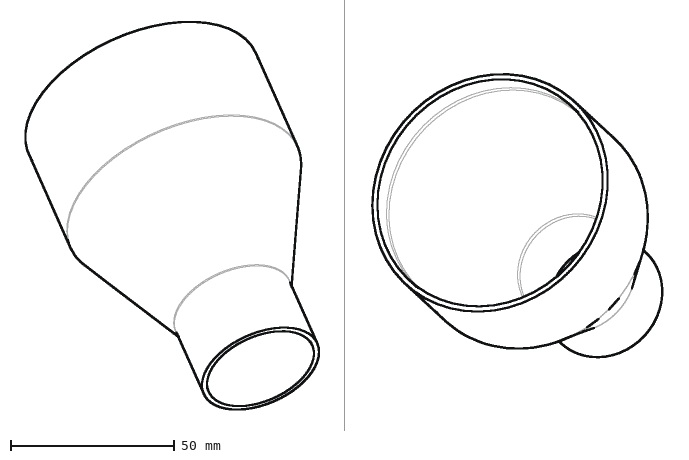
import cadquery as cq

total_length = 108.0

large_outer_diameter = 76.2
small_outer_diameter = large_outer_diameter / 2
large_bore_diameter = 72.9
wall = (large_outer_diameter - large_bore_diameter) / 2

large_tube_length = 38.2
small_tube_length = 25.4
outer_blend_radius = 1.1

large_bore_length = 9.5
small_bore_length = 29.1
inner_blend_radius = 6.4


def reducer_body(large_diameter, small_diameter, large_length, small_length, blend_radius):
    """Solid cylinder, cone and cylinder in a row about X, rounded at both ends of the cone."""
    large_radius = large_diameter / 2
    small_radius = small_diameter / 2
    profile = (
        cq.Workplane("XY")
        .lineTo(0, large_radius)
        .lineTo(large_length, large_radius)
        .lineTo(total_length - small_length, small_radius)
        .lineTo(total_length, small_radius)
        .lineTo(total_length, 0)
        .close()
    )
    body = profile.revolve(360, (0, 0, 0), (1, 0, 0))
    return body.faces("%CONE").edges("%CIRCLE").fillet(blend_radius)


outer_body = reducer_body(
    large_outer_diameter,
    small_outer_diameter,
    large_tube_length,
    small_tube_length,
    outer_blend_radius,
)

bore = reducer_body(
    large_bore_diameter,
    small_outer_diameter - 2 * wall,
    large_bore_length,
    small_bore_length,
    inner_blend_radius,
)

result = outer_body.cut(bore)